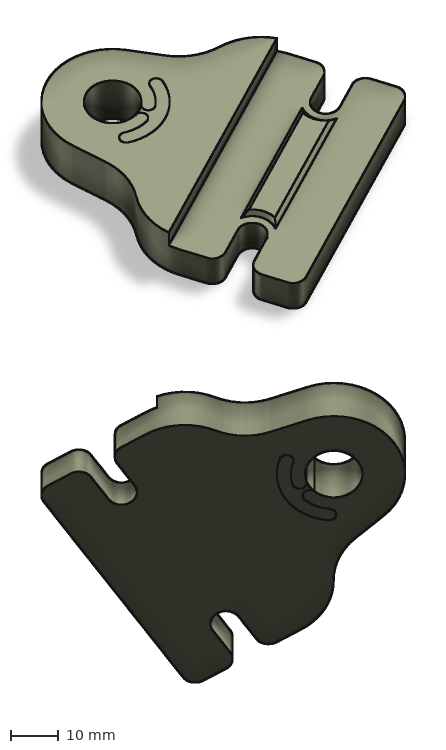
import cadquery as cq
import math

length = 70.0
width = 60.0
thickness = 12.0
round_radius = 15.0
line_slope_sin = 0.2
shoulder_x = 42.5
step_x = 40.0
flange_height = 8.0
corner_radius = 3.0

slot_x = 54.95
slot_width = 6.5
slot_depth = 13.0

rib_width = 7.85
rib_height = 1.0
rib_side_taper = 45.0
rib_end_gap = 1.9

hole_radius = 6.0
inlay_inner_radius = 9.0
inlay_outer_radius = 12.0
inlay_end_angle = 52.0
neck_width = 1.0

half_width = width / 2
head_x = round_radius
slot_radius = slot_width / 2
slot_end_y = half_width - slot_depth + slot_radius


def polar(radius, angle):
    """Point at a radius and an angle (radians) around the hole axis."""
    return (head_x + radius * math.cos(angle), radius * math.sin(angle))


def mirrored(point):
    return (point[0], -point[1])


def point_between(start, end, distance):
    """Point at a distance from start, on the way to end."""
    share = distance / math.dist(start, end)
    return (start[0] + share * (end[0] - start[0]), start[1] + share * (end[1] - start[1]))


def point_on_arc(centre, first, last):
    """Middle of the short arc from first to last around centre."""
    chord_middle = ((first[0] + last[0]) / 2, (first[1] + last[1]) / 2)
    return point_between(centre, chord_middle, math.dist(centre, first))


def make_outline():
    """Round head, straight flanks, concave blends and shoulders running into a straight flange."""
    slope_cos = math.sqrt(1 - line_slope_sin**2)
    shoulder_centre = (shoulder_x, half_width - round_radius)
    flank_start = (head_x - round_radius * line_slope_sin, round_radius * slope_cos)

    blend_start = (head_x - 2 * round_radius * line_slope_sin, 2 * round_radius * slope_cos)
    offset_x = blend_start[0] - shoulder_centre[0]
    offset_y = blend_start[1] - shoulder_centre[1]
    along = offset_x * slope_cos + offset_y * line_slope_sin
    across = offset_x * line_slope_sin - offset_y * slope_cos
    flank_length = -along - math.sqrt((2 * round_radius) ** 2 - across**2)
    step = (flank_length * slope_cos, flank_length * line_slope_sin)
    flank_end = (flank_start[0] + step[0], flank_start[1] + step[1])
    blend_centre = (blend_start[0] + step[0], blend_start[1] + step[1])

    blend_end = point_between(blend_centre, shoulder_centre, round_radius)
    shoulder_end = (shoulder_x, half_width)
    blend_middle = point_on_arc(blend_centre, flank_end, blend_end)
    shoulder_middle = point_on_arc(shoulder_centre, blend_end, shoulder_end)

    return (
        cq.Workplane("XY")
        .moveTo(*mirrored(flank_start))
        .threePointArc((0, 0), flank_start)
        .lineTo(*flank_end)
        .threePointArc(blend_middle, blend_end)
        .threePointArc(shoulder_middle, shoulder_end)
        .lineTo(length, half_width)
        .lineTo(length, -half_width)
        .lineTo(*mirrored(shoulder_end))
        .threePointArc(mirrored(shoulder_middle), mirrored(blend_end))
        .threePointArc(mirrored(blend_middle), mirrored(flank_end))
        .close()
    )


def make_slots():
    """Round-ended slots open to both long sides."""
    slots = cq.Workplane("XY")
    for side in (-1, 1):
        slots = slots.union(
            cq.Workplane("XY")
            .center(slot_x, side * half_width)
            .slot2D(2 * slot_depth, slot_width, 90)
            .extrude(thickness)
        )
    return slots


def round_corners(plate):
    """Round the flange's outer corners and the mouths of the slots."""
    corner_xs = (slot_x - slot_radius, slot_x + slot_radius, length)
    for x in corner_xs:
        for side in (-1, 1):
            corner = cq.selectors.NearestToPointSelector((x, side * half_width, flange_height / 2))
            plate = plate.edges("|Z").edges(corner).fillet(corner_radius)
    return plate


def make_rib():
    """Rib between the slots with sloping sides and ends concentric to the slot ends."""
    end_radius = slot_radius + rib_end_gap
    half_rib = rib_width / 2
    corner_y = slot_end_y - math.sqrt(end_radius**2 - half_rib**2)
    middle_y = slot_end_y - end_radius
    return (
        cq.Workplane("XY", origin=(slot_x, 0, flange_height))
        .moveTo(-half_rib, -corner_y)
        .threePointArc((0, -middle_y), (half_rib, -corner_y))
        .lineTo(half_rib, corner_y)
        .threePointArc((0, middle_y), (-half_rib, corner_y))
        .close()
        .extrude(rib_height, taper=rib_side_taper)
    )


def make_inlay():
    """Anchor-shaped inlay through the full thickness, its stem ending on the hole wall."""
    notch_radius = (inlay_inner_radius - hole_radius) / 2
    notch_centre_radius = hole_radius + notch_radius
    notch_angle = math.asin((neck_width / 2 + notch_radius) / notch_centre_radius)
    notch_centre = polar(notch_centre_radius, notch_angle)
    stem_start = polar(hole_radius, notch_angle)
    notch_middle = (
        notch_centre[0] + notch_radius * math.sin(notch_angle),
        notch_centre[1] - notch_radius * math.cos(notch_angle),
    )
    notch_end = polar(inlay_inner_radius, notch_angle)

    tip_angle = math.radians(inlay_end_angle)
    tip_radius = (inlay_outer_radius - inlay_inner_radius) / 2
    tip_centre = polar(inlay_inner_radius + tip_radius, tip_angle)
    tip_middle = (
        tip_centre[0] - tip_radius * math.sin(tip_angle),
        tip_centre[1] + tip_radius * math.cos(tip_angle),
    )
    tip_inner = polar(inlay_inner_radius, tip_angle)
    tip_outer = polar(inlay_outer_radius, tip_angle)
    inner_middle = polar(inlay_inner_radius, (notch_angle + tip_angle) / 2)

    return (
        cq.Workplane("XY")
        .moveTo(*stem_start)
        .threePointArc(notch_middle, notch_end)
        .threePointArc(inner_middle, tip_inner)
        .threePointArc(tip_middle, tip_outer)
        .threePointArc(polar(inlay_outer_radius, 0), mirrored(tip_outer))
        .threePointArc(mirrored(tip_middle), mirrored(tip_inner))
        .threePointArc(mirrored(inner_middle), mirrored(notch_end))
        .threePointArc(mirrored(notch_middle), mirrored(stem_start))
        .threePointArc(polar(hole_radius, 0), stem_start)
        .close()
        .extrude(thickness)
    )


def make_plate(inlay):
    """Stepped plate with its hole, slots, rib and a matching opening for the inlay."""
    plate = make_outline().extrude(thickness)
    step_cut = (
        cq.Workplane("XY", origin=(step_x, 0, flange_height))
        .box(length - step_x, width, thickness - flange_height, centered=(False, True, False))
    )
    hole = cq.Workplane("XY").center(head_x, 0).circle(hole_radius).extrude(thickness)
    plate = plate.cut(step_cut).cut(make_slots())
    plate = round_corners(plate)
    return plate.union(make_rib()).cut(hole).cut(inlay)


inlay = make_inlay()
plate = make_plate(inlay)

result = cq.Compound.makeCompound([plate.solids().val(), inlay.val()])